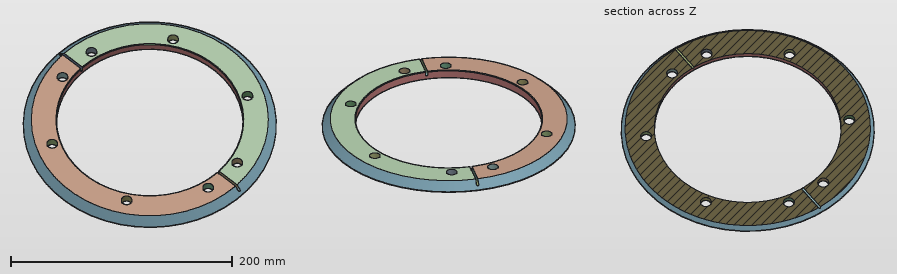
import cadquery as cq
import math

outer_radius = 114.3
bore_radius = 84.1
height = 8.0
rim_height = 0.7
bevel = height - rim_height
bore_chamfer = 0.7

hole_diameter = 9.5
hole_circle_radius = 92.1
hole_angles_from_x = (12, 60)

groove_width = 2.0
groove_depth = 4.5


def make_ring():
    """Flat ring with a thin vertical rim, a 45 degree outer bevel and a chamfered bore."""
    profile = (
        cq.Workplane("XZ")
        .moveTo(-bore_radius, 0)
        .lineTo(-outer_radius, 0)
        .lineTo(-outer_radius, rim_height)
        .lineTo(-(outer_radius - bevel), height)
        .lineTo(-(bore_radius + bore_chamfer), height)
        .lineTo(-bore_radius, height - bore_chamfer)
        .close()
    )
    return profile.revolve(360, (0, 0, 0), (0, 1, 0))


def make_holes():
    """Cylinders for the through holes, one set mirrored into each quadrant."""
    centers = []
    for angle in hole_angles_from_x:
        x = hole_circle_radius * math.cos(math.radians(angle))
        y = hole_circle_radius * math.sin(math.radians(angle))
        centers += [(x, y), (-x, y), (-x, -y), (x, -y)]
    return cq.Workplane("XY").pushPoints(centers).circle(hole_diameter / 2).extrude(height)


def make_groove():
    """Straight-walled groove with a half-round bottom, spanning the whole diameter."""
    half_width = groove_width / 2
    bottom = height - groove_depth
    return (
        cq.Workplane("YZ")
        .moveTo(-half_width, height)
        .lineTo(-half_width, bottom + half_width)
        .threePointArc((0, bottom), (half_width, bottom + half_width))
        .lineTo(half_width, height)
        .close()
        .extrude(outer_radius, both=True)
    )


result = make_ring().cut(make_holes()).cut(make_groove())